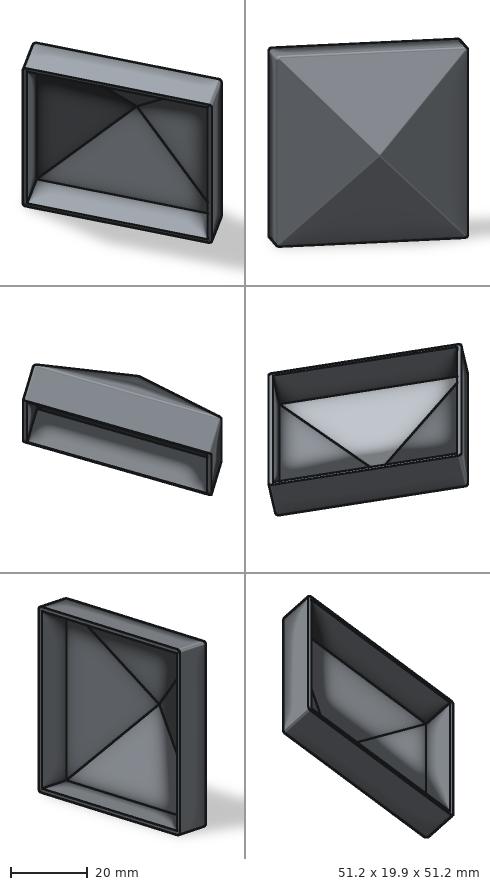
import cadquery as cq

width = 51.2
total_height = 19.9
core_skirt_height = 9.3
wall = 1.2
edge_radius = 1.0

core_width = width - 2 * edge_radius
core_height = total_height - edge_radius
roof_slope = (core_height - core_skirt_height) / (core_width / 2)
slope_length = (1 + roof_slope**2) ** 0.5

rim_y = -total_height / 2


def pyramid_cap(side, start_y, shoulder_y):
    """Square prism from start_y to shoulder_y, topped by a pyramid pointing to +Y."""
    half = side / 2
    signs = ((-1, -1), (1, -1), (1, 1), (-1, 1))
    base = [cq.Vector(sx * half, start_y, sz * half) for sx, sz in signs]
    eaves = [cq.Vector(sx * half, shoulder_y, sz * half) for sx, sz in signs]
    apex = cq.Vector(0, shoulder_y + half * roof_slope, 0)

    outlines = [base]
    for i in range(len(signs)):
        j = (i + 1) % len(signs)
        outlines.append([base[i], base[j], eaves[j], eaves[i]])
        outlines.append([eaves[i], eaves[j], apex])
    faces = [cq.Face.makeFromWires(cq.Wire.makePolygon(points, close=True)) for points in outlines]
    return cq.Workplane(cq.Solid.makeSolid(cq.Shell.makeShell(faces)).fix())


outer_shoulder_y = rim_y + core_skirt_height + edge_radius * (slope_length - roof_slope)
outer = pyramid_cap(width, rim_y, outer_shoulder_y)
outer = outer.faces("not <Y").edges("not <Y").fillet(edge_radius)

cavity_shoulder_y = outer_shoulder_y - wall * (slope_length - roof_slope)
cavity = pyramid_cap(width - 2 * wall, rim_y, cavity_shoulder_y)

result = outer.cut(cavity)